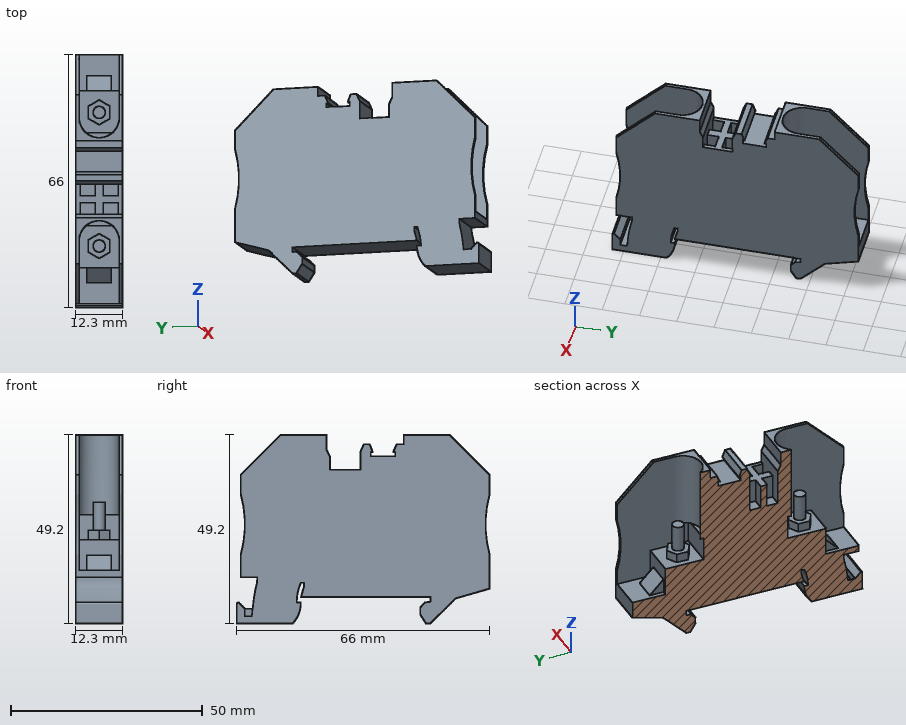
import cadquery as cq
import math


width = 12.3
length_overall = 66.0
foot_overhang = 1.05
half_length = (length_overall - foot_overhang) / 2
height = 49.25
shoulder = 10.4
waist_low = 18.0
waist_high = 33.7
waist_depth = 1.05

rail_face = 6.9
hook_top = 5.55
hook_root = 16.95
hook_nose = 14.3
end_low_pos = 9.1
end_low_neg = 12.1
foot_inner = -16.75
slot_blind = -16.0
slot_top = 10.6
foot_end = -half_length - foot_overhang
lip_round = 0.5
lip_floor = 3.9
lip_root = -31.35
leg_root = -29.4
leg_bend_y = -28.5
leg_bend_z = 9.6
leg_top = -28.2
lip_web = 1.9
groove_floor = 2.0
groove_flare = 0.25

tower_inner = 10.0
label_ledge = 46.8
label_catch = 44.75
label_floor = 43.7
label_near = 1.45
label_far = 7.8
catch_reach = 0.5
bridge_floor = 40.2
bridge_start = -1.25
bridge_end = -9.2
bridge_wall_top = 44.9
bridge_taper_low = 43.55
bridge_taper_high = 45.35

funnel_width = 10.4
funnel_radius = funnel_width / 2
funnel_crown = 10.8
funnel_axis = funnel_crown + funnel_radius
funnel_bottom = 28.4
clamp_back = 12.1
clamp_front = 23.05
clamp_top = 21.85
entry_floor = 13.9
ramp_width = 6.4
ramp_size = 3.95

screw_y = 17.4
nut_flats = 5.6
nut_height = 2.5
stud_diameter = 3.2
stud_top = 31.7

hole_x_size = 3.9
hole_y_size = 3.05
hole_x = 3.05
hole_depth = 6.6


def housing():
    """Side outline, drawn with Y and Z, extruded over the full width."""
    top_corner = half_length - shoulder
    shoulder_foot = height - shoulder
    waist_middle = (waist_low + waist_high) / 2
    outline = (
        cq.Workplane("YZ")
        .workplane(offset=-width / 2)
        .moveTo(top_corner, height)
        .lineTo(half_length, shoulder_foot)
        .lineTo(half_length, waist_high)
        .threePointArc((half_length - waist_depth, waist_middle), (half_length, waist_low))
        .lineTo(half_length, end_low_pos)
        .lineTo(23.55, 6.55)
        .lineTo(hook_root, 0)
        .lineTo(15.85, 0)
        .lineTo(hook_nose, 2.4)
        .lineTo(hook_nose, 4.2)
        .lineTo(15.6, hook_top)
        .lineTo(hook_root, 5.75)
        .lineTo(hook_root, rail_face)
        .lineTo(foot_inner, rail_face)
        .lineTo(slot_blind, 9.8)
        .lineTo(slot_blind, slot_top)
        .lineTo(foot_inner, slot_top)
        .threePointArc((-17.55, 8.2), (-17.8, hook_top))
        .lineTo(foot_inner, hook_top)
        .threePointArc((-17.35, 2.4), (-18.95, 0))
        .lineTo(foot_end, 0)
        .lineTo(foot_end, hook_top - lip_round)
        .radiusArc((foot_end + lip_round, hook_top), lip_round)
        .lineTo(lip_root, lip_floor)
        .lineTo(leg_root, lip_floor)
        .threePointArc((-29.05, 6.7), (leg_bend_y, leg_bend_z))
        .threePointArc((-28.25, 10.8), (leg_top, end_low_neg))
        .lineTo(-half_length, end_low_neg)
        .lineTo(-half_length, waist_low)
        .threePointArc((-half_length + waist_depth, waist_middle), (-half_length, waist_high))
        .lineTo(-half_length, shoulder_foot)
        .lineTo(-top_corner, height)
        .lineTo(-tower_inner, height)
        .lineTo(-tower_inner, bridge_taper_high)
        .lineTo(bridge_end, bridge_taper_low)
        .lineTo(bridge_end, bridge_floor)
        .lineTo(bridge_start, bridge_floor)
        .lineTo(bridge_start, bridge_wall_top)
        .lineTo(-0.4, label_ledge)
        .lineTo(1.2, label_ledge)
        .lineTo(label_near + catch_reach, label_catch)
        .lineTo(label_near, label_catch)
        .lineTo(label_near, label_floor)
        .lineTo(label_far, label_floor)
        .lineTo(label_far, label_catch)
        .lineTo(label_far - catch_reach, label_catch)
        .lineTo(8.2, label_ledge)
        .lineTo(tower_inner, label_ledge)
        .lineTo(tower_inner, height)
        .close()
    )
    return outline.extrude(width)


def lip_groove():
    """Deeper groove in the lip notch, open at +X and closed by a web at -X."""
    return (
        cq.Workplane("YZ")
        .workplane(offset=-width / 2 + lip_web)
        .moveTo(lip_root, lip_floor)
        .lineTo(lip_root, groove_floor)
        .lineTo(leg_root - groove_flare, groove_floor)
        .threePointArc(
            (leg_root - groove_flare / 4, (lip_floor + groove_floor) / 2),
            (leg_root, lip_floor),
        )
        .close()
        .extrude(width - lip_web)
    )


def block(x_size, y_from, y_to, z_from, z_to):
    """Box centred on X between the given Y and Z limits."""
    return (
        cq.Workplane("XY")
        .box(x_size, y_to - y_from, z_to - z_from, centered=(True, False, False))
        .translate((0, y_from, z_from))
    )


def funnel_space():
    """Space removed for one wire funnel at the +Y end, open at the top and the end."""
    round_wall = (
        cq.Workplane("XY")
        .workplane(offset=funnel_bottom)
        .center(0, funnel_axis)
        .circle(funnel_radius)
        .extrude(height - funnel_bottom)
    )
    shaft = block(funnel_width, funnel_axis, half_length, funnel_bottom, height)
    clamp_space = block(funnel_width, clamp_back, half_length, clamp_top, funnel_bottom)
    entry = block(funnel_width, clamp_front, half_length, entry_floor, clamp_top)
    return round_wall.union(shaft).union(clamp_space).union(entry)


def wire_ramp():
    """45 degree ramp that rises from the entry floor to the clamp face."""
    return (
        cq.Workplane("YZ")
        .workplane(offset=-ramp_width / 2)
        .moveTo(clamp_front, entry_floor)
        .lineTo(clamp_front + ramp_size, entry_floor)
        .lineTo(clamp_front, entry_floor + ramp_size)
        .close()
        .extrude(ramp_width)
    )


def clamp_screw():
    """Hexagon nut with two corners along Y, and the stud standing in it."""
    nut_corners = nut_flats / math.cos(math.pi / 6)
    base = cq.Workplane("XY", origin=(0, screw_y, clamp_top))
    nut = base.transformed(rotate=(0, 0, 90)).polygon(6, nut_corners).extrude(nut_height)
    stud = base.circle(stud_diameter / 2).extrude(stud_top - clamp_top)
    return nut.union(stud)


def bridge_holes():
    """Four square-cornered holes along both edges of the bridge recess floor."""
    centres = [
        (x, y)
        for x in (-hole_x, hole_x)
        for y in (bridge_start - hole_y_size / 2, bridge_end + hole_y_size / 2)
    ]
    return (
        cq.Workplane("XY")
        .workplane(offset=bridge_floor - hole_depth)
        .pushPoints(centres)
        .rect(hole_x_size, hole_y_size)
        .extrude(hole_depth)
    )


def both_ends(shape):
    """The +Y shape together with its mirror image at the -Y end."""
    return shape.union(shape.mirror("XZ"))


result = (
    housing()
    .cut(both_ends(funnel_space()))
    .cut(bridge_holes())
    .cut(lip_groove())
    .union(both_ends(wire_ramp()))
    .union(both_ends(clamp_screw()))
)